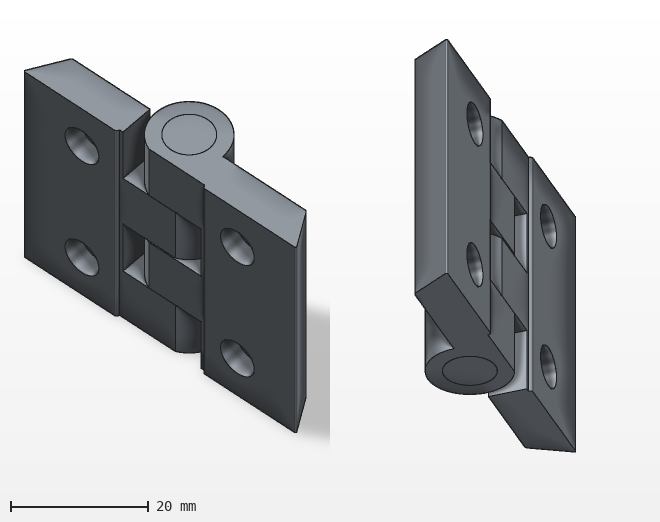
import cadquery as cq
import math

length = 52.5
height = 40.0
barrel_radius = 6.5
pin_radius = 4.0

half_length = length / 2
front_y = -barrel_radius
slant_angle = 60.0
slant_run = barrel_radius / math.tan(math.radians(slant_angle))
tip_fillet = 0.2
tip_x = half_length + tip_fillet / math.tan(math.radians(slant_angle / 2)) - tip_fillet
crest_x = tip_x - slant_run
crest_fillet = 0.5
leaf_inner_x = 7.55
relief_depth = 0.5
relief_y = front_y + relief_depth
relief_outer_x = 8.75
relief_inner_x = relief_outer_x - relief_depth
relief_mid_x = relief_outer_x - relief_depth * math.sin(math.radians(45))
relief_mid_y = relief_y - relief_depth * math.cos(math.radians(45))

knuckle_count = 4
knuckle_pitch = height / knuckle_count
middle_gap = 0.15

hole_x = 15.0
hole_z = 12.0
hole_radius = 3.25
countersink_radius = 6.25
countersink_depth = countersink_radius - hole_radius


def prism(sketch, bottom, top):
    """Extrude a closed XY outline between two heights."""
    return sketch.extrude(top - bottom).translate((0, 0, bottom))


def leaf_plate():
    """Right-hand plate with slanted outer edge and relieved inner edge."""
    outline = (
        cq.Workplane("XY")
        .moveTo(leaf_inner_x, 0)
        .lineTo(crest_x, 0)
        .lineTo(tip_x, front_y)
        .lineTo(relief_outer_x, front_y)
        .threePointArc((relief_mid_x, relief_mid_y), (relief_inner_x, relief_y))
        .lineTo(leaf_inner_x, relief_y)
        .close()
    )
    plate = prism(outline, -height / 2, height / 2)
    crest = cq.selectors.NearestToPointSelector((crest_x, 0, 0))
    tip = cq.selectors.NearestToPointSelector((tip_x, front_y, 0))
    return plate.edges(crest).fillet(crest_fillet).edges(tip).fillet(tip_fillet)


def knuckle(bottom, top):
    """Barrel with a flat front, joined to the right-hand plate by a web."""
    barrel = prism(cq.Workplane("XY").circle(barrel_radius), bottom, top)
    front_trim = prism(
        cq.Workplane("XY").center(0, front_y).rect(2 * barrel_radius, 2 * relief_depth),
        bottom,
        top,
    )
    web_outline = cq.Workplane("XY").moveTo(0, relief_y).lineTo(leaf_inner_x, relief_y)
    web_outline = web_outline.lineTo(leaf_inner_x, 0).lineTo(0, 0).close()
    web = prism(web_outline, bottom, top)
    bore = prism(cq.Workplane("XY").circle(pin_radius), bottom, top)
    return barrel.cut(front_trim).union(web).cut(bore)


def screw_hole(z):
    """Cutter for one hole: a cylinder opening into a cone at the back."""
    profile = (
        cq.Workplane("XY")
        .moveTo(0, front_y)
        .lineTo(hole_radius, front_y)
        .lineTo(hole_radius, -countersink_depth)
        .lineTo(countersink_radius, 0)
        .lineTo(0, 0)
        .close()
    )
    return profile.revolve(360, (0, 0, 0), (0, 1, 0)).translate((hole_x, 0, z))


def hinge_leaf():
    """Right-hand leaf with knuckles in the first and third places from the top."""
    leaf = leaf_plate()
    leaf = leaf.union(knuckle(knuckle_pitch, height / 2))
    leaf = leaf.union(knuckle(-knuckle_pitch, -middle_gap))
    for z in (-hole_z, hole_z):
        leaf = leaf.cut(screw_hole(z))
    return leaf


right_leaf = hinge_leaf()
left_leaf = hinge_leaf().rotate((0, 0, 0), (0, 1, 0), 180)
pin = prism(cq.Workplane("XY").circle(pin_radius), -height / 2, height / 2)

result = cq.Compound.makeCompound([right_leaf.val(), left_leaf.val(), pin.val()])